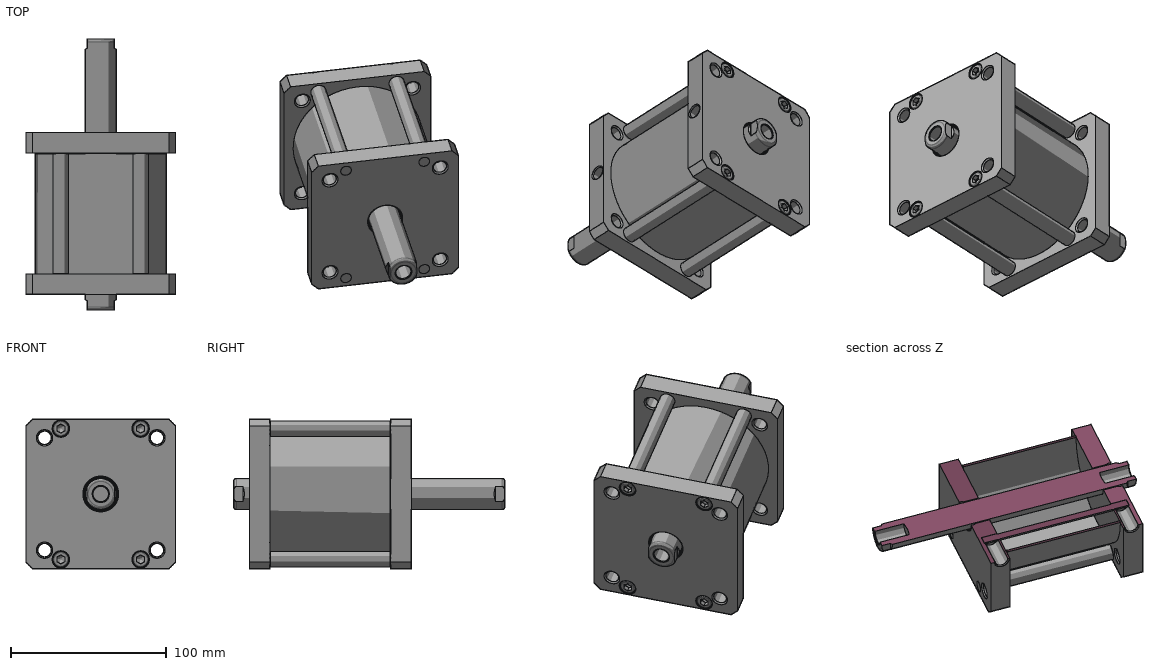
import cadquery as cq
import math

TOTAL_LENGTH = 174.0
FRONT_STICKOUT = 10.1
BACK_STICKOUT = 60.0

PLATE_SIDE = 96.0
PLATE_THICKNESS = 13.2
PLATE_CORNER_CHAMFER = 4.4

TUBE_OUTER_DIAMETER = 84.0
TUBE_BORE_DIAMETER = 80.0
END_GAP = 0.3

ROD_DIAMETER = 20.0
ROD_END_FILLET = 2.0
FLAT_WIDTH = 17.4
FLAT_LENGTH = 6.0
FLAT_BEVEL = 1.0
ROD_TAP_DIAMETER = 10.0
ROD_TAP_CHAMFER = 0.5
ROD_TAP_DEPTH = 20.0
ROD_TAP_POINT_ANGLE = 168.0

GLAND_DIAMETER = 20.5
GLAND_RECESS_DIAMETER = 22.0
GLAND_RECESS_DEPTH = 2.6
GLAND_MOUTH_DIAMETER = 23.0

MOUNT_HOLE_DIAMETER = 8.5
MOUNT_HOLE_MOUTH_DIAMETER = 10.5
MOUNT_HOLE_OFFSET = 36.0

DRILL_POINT_ANGLE = 118.0
PORT_DIAMETER = 8.5
PORT_MOUTH_DIAMETER = 10.0
PORT_INSET = 7.5
PORT_DEPTH = 20.0
PIN_DIAMETER = 5.0
PIN_SINK = 1.4
PIN_OVERRUN = 0.5

TIE_ROD_X = 25.5
TIE_ROD_Z = 42.0
TIE_ROD_DIAMETER = 10.0
SHANK_DIAMETER = 7.0
HEAD_DIAMETER = 10.1
HEAD_HEIGHT = 6.0
HEAD_FILLET = 0.7
HEX_ACROSS_FLATS = 5.0
HEX_DEPTH = 3.0
COUNTERBORE_DIAMETER = 10.5
COUNTERBORE_MOUTH_DIAMETER = 11.1

FRONT_FACE = FRONT_STICKOUT
FRONT_SEAT = FRONT_FACE + PLATE_THICKNESS
BACK_FACE = TOTAL_LENGTH - BACK_STICKOUT
BACK_SEAT = BACK_FACE - PLATE_THICKNESS
FRONT_PORT_Y = FRONT_FACE + PORT_INSET
BACK_PORT_Y = BACK_FACE - PORT_INSET
HEAD_SEAT = FRONT_FACE + HEAD_HEIGHT

PORT_FACE_X = -PLATE_SIDE / 2
PORT_BOTTOM_X = PORT_FACE_X + PORT_DEPTH
PIN_X = PORT_BOTTOM_X + PIN_SINK

Y_AXIS = cq.Vector(0, 1, 0)


def cylinder_y(diameter, start, end, x=0.0, z=0.0):
    """A cylinder along Y between two stations, given in either order."""
    base = cq.Vector(x, min(start, end), z)
    return cq.Workplane(cq.Solid.makeCylinder(diameter / 2, abs(end - start), base, Y_AXIS))


def cone(base_diameter, tip_diameter, length, base, direction):
    """A cone or frustum that narrows from its base along a direction."""
    return cq.Workplane(cq.Solid.makeCone(base_diameter / 2, tip_diameter / 2, length, base, direction))


def mouth_chamfer(mouth_diameter, hole_diameter, base, direction):
    """Cutter for a 45 degree chamfer at the mouth of a hole."""
    return cone(mouth_diameter, hole_diameter, (mouth_diameter - hole_diameter) / 2, base, direction)


def drill_point_length(diameter, point_angle):
    return diameter / 2 / math.tan(math.radians(point_angle / 2))


def corner_places(x, z):
    return [(side * x, level * z) for side in (-1, 1) for level in (-1, 1)]


def make_port(y):
    """Cutter for a side port: chamfered bore with a conical bottom, along +X."""
    inward = cq.Vector(1, 0, 0)
    face = cq.Vector(PORT_FACE_X, y, 0)
    bottom = cq.Vector(PORT_BOTTOM_X, y, 0)
    point_length = drill_point_length(PORT_DIAMETER, DRILL_POINT_ANGLE)
    bore = cq.Workplane(cq.Solid.makeCylinder(PORT_DIAMETER / 2, PORT_DEPTH, face, inward))
    return (bore
            .union(cone(PORT_DIAMETER, 0, point_length, bottom, inward))
            .union(mouth_chamfer(PORT_MOUTH_DIAMETER, PORT_DIAMETER, face, inward)))


def make_transfer_pin():
    """A straight pin from the front port to the back port, inside the tube."""
    reach = PORT_DIAMETER / 2 + PIN_OVERRUN
    return cylinder_y(PIN_DIAMETER, FRONT_PORT_Y - reach, BACK_PORT_Y + reach, PIN_X)


def make_end_plate(outer_face, seat, port_y):
    """Square plate with rod opening, mounting holes, side port and tie rod holes."""
    into_plate = math.copysign(1, seat - outer_face)
    inward = Y_AXIS * into_plate
    plate = (cq.Workplane("XY")
             .box(PLATE_SIDE, PLATE_THICKNESS, PLATE_SIDE)
             .edges("|Y").chamfer(PLATE_CORNER_CHAMFER)
             .translate((0, (outer_face + seat) / 2, 0)))

    recess_end = outer_face + into_plate * GLAND_RECESS_DEPTH
    gland_mouth = cq.Vector(0, outer_face, 0)
    plate = plate.cut(cylinder_y(GLAND_DIAMETER, outer_face, seat))
    plate = plate.cut(cylinder_y(GLAND_RECESS_DIAMETER, outer_face, recess_end))
    plate = plate.cut(mouth_chamfer(GLAND_MOUTH_DIAMETER, GLAND_RECESS_DIAMETER, gland_mouth, inward))

    for x, z in corner_places(MOUNT_HOLE_OFFSET, MOUNT_HOLE_OFFSET):
        plate = plate.cut(cylinder_y(MOUNT_HOLE_DIAMETER, outer_face, seat, x, z))
        for face, direction in ((outer_face, inward), (seat, inward * -1)):
            mouth = cq.Vector(x, face, z)
            plate = plate.cut(
                mouth_chamfer(MOUNT_HOLE_MOUTH_DIAMETER, MOUNT_HOLE_DIAMETER, mouth, direction))

    for x, z in corner_places(TIE_ROD_X, TIE_ROD_Z):
        plate = plate.cut(cylinder_y(SHANK_DIAMETER, outer_face, seat, x, z))

    return plate.cut(make_port(port_y)).cut(make_transfer_pin())


def make_front_plate():
    """End plate with a counterbore for each tie rod head."""
    plate = make_end_plate(FRONT_FACE, FRONT_SEAT, FRONT_PORT_Y)
    for x, z in corner_places(TIE_ROD_X, TIE_ROD_Z):
        mouth = cq.Vector(x, FRONT_FACE, z)
        plate = plate.cut(cylinder_y(COUNTERBORE_DIAMETER, FRONT_FACE, HEAD_SEAT, x, z))
        plate = plate.cut(
            mouth_chamfer(COUNTERBORE_MOUTH_DIAMETER, COUNTERBORE_DIAMETER, mouth, Y_AXIS))
    return plate


def make_back_plate():
    return make_end_plate(BACK_FACE, BACK_SEAT, BACK_PORT_Y)


def make_tube():
    tube_end = BACK_SEAT - END_GAP
    outside = cylinder_y(TUBE_OUTER_DIAMETER, FRONT_SEAT, tube_end)
    return outside.cut(cylinder_y(TUBE_BORE_DIAMETER, FRONT_SEAT, tube_end))


def make_wrench_flat(end, into_rod, side):
    """Cutter for one flat at a rod end, with a bevel on the shoulder behind it."""
    flat = side * FLAT_WIDTH / 2
    rim = side * ROD_DIAMETER / 2
    bevel_start = rim - side * FLAT_BEVEL
    beyond = rim + side * FLAT_BEVEL
    shoulder = end + into_rod * FLAT_LENGTH
    profile = [
        (flat, end),
        (flat, shoulder),
        (bevel_start, shoulder),
        (beyond, shoulder + into_rod * 2 * FLAT_BEVEL),
        (beyond, end),
    ]
    return cq.Workplane("XY").polyline(profile).close().extrude(ROD_DIAMETER / 2, both=True)


def make_rod_tap(end, into_rod):
    """Cutter for the chamfered hole in a rod end."""
    inward = Y_AXIS * into_rod
    depth_end = end + into_rod * ROD_TAP_DEPTH
    mouth_diameter = ROD_TAP_DIAMETER + 2 * ROD_TAP_CHAMFER
    point_length = drill_point_length(ROD_TAP_DIAMETER, ROD_TAP_POINT_ANGLE)
    return (cylinder_y(ROD_TAP_DIAMETER, end, depth_end)
            .union(mouth_chamfer(mouth_diameter, ROD_TAP_DIAMETER, cq.Vector(0, end, 0), inward))
            .union(cone(ROD_TAP_DIAMETER, 0, point_length, cq.Vector(0, depth_end, 0), inward)))


def make_piston_rod():
    rod = cylinder_y(ROD_DIAMETER, 0, TOTAL_LENGTH).faces("<Y or >Y").edges().fillet(ROD_END_FILLET)
    for end, into_rod in ((0, 1), (TOTAL_LENGTH, -1)):
        for side in (-1, 1):
            rod = rod.cut(make_wrench_flat(end, into_rod, side))
        rod = rod.cut(make_rod_tap(end, into_rod))
    return rod


def make_hex_socket():
    """Cutter for a hexagonal socket with a conical bottom, corners up and down."""
    across_corners = HEX_ACROSS_FLATS / math.cos(math.pi / 6)
    point_length = drill_point_length(across_corners, DRILL_POINT_ANGLE)
    drill = cylinder_y(across_corners, FRONT_FACE, FRONT_FACE + HEX_DEPTH).union(
        cone(across_corners, 0, point_length, cq.Vector(0, FRONT_FACE + HEX_DEPTH, 0), Y_AXIS))
    hexagon = (cq.Workplane("XZ", origin=(0, FRONT_FACE, 0))
               .transformed(rotate=(0, 0, 30))
               .polygon(6, across_corners)
               .extrude(-(HEX_DEPTH + point_length)))
    return hexagon.intersect(drill)


def make_tie_rod(x, z):
    """Round rod with a thin shank in each plate and a socket head at the front."""
    head = cylinder_y(HEAD_DIAMETER, FRONT_FACE, HEAD_SEAT).faces("<Y").edges().fillet(HEAD_FILLET)
    shank = cylinder_y(SHANK_DIAMETER, HEAD_SEAT, BACK_FACE)
    body = cylinder_y(TIE_ROD_DIAMETER, FRONT_SEAT + END_GAP, BACK_SEAT - END_GAP)
    tie_rod = head.cut(make_hex_socket()).union(shank).union(body)
    return tie_rod.translate((x, 0, z))


front_plate = make_front_plate()
back_plate = make_back_plate()
tube = make_tube()
piston_rod = make_piston_rod()
transfer_pin = make_transfer_pin()
tie_rods = [make_tie_rod(x, z) for x, z in corner_places(TIE_ROD_X, TIE_ROD_Z)]

result = cq.Compound.makeCompound([
    front_plate.solids().val(),
    back_plate.solids().val(),
    tube.solids().val(),
    piston_rod.solids().val(),
    transfer_pin.solids().val(),
    *[tie_rod.solids().val() for tie_rod in tie_rods],
])